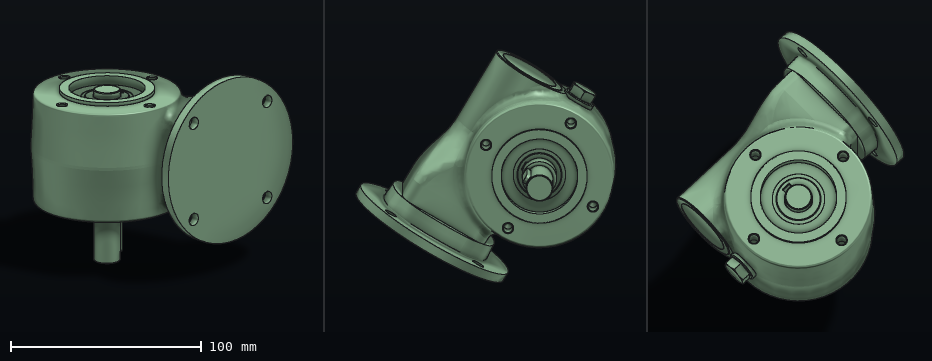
import cadquery as cq
import math


drum_radius = 40.0
drum_end_radius = 38.7
drum_half_height = 30.0
parting_band_half = 0.8
drum_edge_radius = 1.4
boss_diameter = 50.0
boss_face = 32.0
recess_diameter = 40.0
recess_floor = 27.0
cover_hole_diameter = 5.0
cover_hole_mouth = 6.0
cover_hole_depth = 10.0
cover_hole_circle = 65.0
drill_point_angle = 118

worm_axis_y = 30.0
tube_radius = 20.0
tube_end = -40.5
tube_rim_height = 0.5
tube_cap_diameter = 32.0
tube_cap_recess = 0.2
neck_half_width = 25.0
neck_corner_radius = 6.9
neck_start = 36.7
blend_steps = 3
tube_flat = 0.5
junction_radius = 5.7

overlong_tube = 80.5
overlong_drum = 46
wall_tolerance = 0.03

flange_radius = 45.0
flange_face = 62.4
flange_thickness = 5.1
flange_hole_diameter = 6.5
flange_hole_circle = 75.0
collar_start = 47.8
collar_start_reach = 30.8
collar_end_reach = 31.5
collar_bulge_radius = 50.6
collar_corner = 18.4
collar_corner_radius = 13.8
collar_root_radius = 1.0

shaft_diameter = 14.0
shaft_top = 31.3
shaft_bottom = -63.0
shaft_chamfer = 0.5
shoulder_diameter = 18.0
shoulder_bottom = -37.5
hollow_shaft_diameter = 23.8
hollow_shaft_end = 27.7
hollow_shaft_chamfer = 0.6
seal_diameter = 27.5
seal_height = 0.2
bore_mouth_diameter = 14.8
key_width = 5.0
key_top = 9.0
key_start = -40.5
key_length = 20.0
keyway_top = 9.5
keyway_depth = 2.3

plug_end = -47.1
plug_hex_across_flats = 13.0
plug_hex_chamfer = 0.7
plug_hex_chamfer_width = 1.4
plug_washer_diameter = 17.0
plug_washer_outer = -42.0
plug_washer_chamfer = 0.6
plug_seat = -37.9

drum_draft = (drum_radius - drum_end_radius) / (drum_half_height - parting_band_half)
flange_back = flange_face - flange_thickness


def revolved_about_z(points):
    return cq.Workplane("XZ").polyline(points).close().revolve(360, (0, 0, 0), (0, 1, 0))


def cylinder(diameter, bottom, top):
    return cq.Workplane("XY", origin=(0, 0, bottom)).circle(diameter / 2).extrude(top - bottom)


def both_ends(shape):
    return shape.union(shape.mirror("XY"))


def across_x(x):
    """Plane at the given X, centred on the worm axis, facing +X."""
    return cq.Workplane("YZ", origin=(x, worm_axis_y, 0))


def rounded_square(x, half_width, corner_radius):
    """Outline of a round-cornered square across the worm axis."""
    flat = half_width - corner_radius
    diagonal = flat + corner_radius * math.sqrt(0.5)
    return (
        across_x(x)
        .moveTo(half_width, -flat)
        .lineTo(half_width, flat)
        .threePointArc((diagonal, diagonal), (flat, half_width))
        .lineTo(-flat, half_width)
        .threePointArc((-diagonal, diagonal), (-half_width, flat))
        .lineTo(-half_width, -flat)
        .threePointArc((-diagonal, -diagonal), (-flat, -half_width))
        .lineTo(flat, -half_width)
        .threePointArc((diagonal, -diagonal), (half_width, -flat))
        .close()
    )


def section_at(t):
    """Worm housing section at fraction t of the S-curve, from round tube to square neck."""
    s = t * t * (3 - 2 * t)
    half_width = tube_radius + s * (neck_half_width - tube_radius)
    flat = tube_flat + s * (neck_half_width - neck_corner_radius - tube_flat)
    return rounded_square(t * neck_start, half_width, half_width - flat)


def make_worm_housing():
    """Tube that swells along an S-curve into the square neck; the tube is left overlong.

    The tube has tiny flats, so that its faces run on into those of the blend.
    """
    tube = section_at(0).extrude(-overlong_tube)
    wires = [section_at(step / blend_steps).wires().val() for step in range(blend_steps + 1)]
    blend = cq.Workplane(cq.Solid.makeLoft(wires))
    neck = section_at(1).extrude(collar_start - neck_start)
    return tube.union(blend).union(neck)


def drum_radius_at(z):
    return drum_radius - max(z - parting_band_half, 0) * drum_draft


def make_half_drum(height):
    """Upper half of the drum, drafted inwards above a straight band at the parting plane."""
    return revolved_about_z([
        (0, 0),
        (drum_radius, 0),
        (drum_radius, parting_band_half),
        (drum_radius_at(height), height),
        (0, height),
    ])


def is_junction(edge):
    """True for an edge that runs along the drum wall, where the worm housing leaves it."""
    points = edge.positions([0.1, 0.5, 0.9])
    on_wall = all(abs(math.hypot(p.x, p.y) - drum_radius_at(p.z)) < wall_tolerance for p in points)
    is_level = edge.geomType() == "CIRCLE" and edge.Center().z < neck_half_width / 2
    on_seam = abs(edge.Center().y) < wall_tolerance
    below_top = 0 < edge.Center().z < overlong_drum - wall_tolerance
    return on_wall and below_top and not is_level and not on_seam


def upper_block(left_end, height):
    """Block above the parting plane, from X = left_end to the flange, wider than the housing."""
    return (
        cq.Workplane("XY", origin=(left_end, 0, 0))
        .box(flange_back - left_end, 2 * overlong_tube, height, centered=(False, True, False))
    )


def make_housing():
    """Drum and worm housing, blended by one fillet that runs out at the drum and tube ends.

    The upper half is filleted with the drum and tube overlong, trimmed, then mirrored.
    """
    untrimmed = upper_block(-overlong_tube, overlong_drum)
    half = make_half_drum(overlong_drum).union(make_worm_housing()).intersect(untrimmed)
    junction = [edge for edge in half.edges().vals() if is_junction(edge)]
    half = half.newObject(junction).fillet(junction_radius)

    half = half.intersect(upper_block(tube_end, drum_half_height))
    half = half.faces(">Z").edges().fillet(drum_edge_radius)
    return both_ends(half)


def collar_outline(x, reach):
    """Four bulged sides, mid-points at `reach`, joined by flats facing the flange bolts."""
    sag = collar_bulge_radius - math.sqrt(collar_bulge_radius**2 - collar_corner**2)
    edge = reach - sag
    return (
        across_x(x)
        .moveTo(edge, -collar_corner)
        .threePointArc((reach, 0), (edge, collar_corner))
        .lineTo(collar_corner, edge)
        .threePointArc((0, reach), (-collar_corner, edge))
        .lineTo(-edge, collar_corner)
        .threePointArc((-reach, 0), (-edge, -collar_corner))
        .lineTo(-collar_corner, -edge)
        .threePointArc((0, -reach), (collar_corner, -edge))
        .close()
        .wires()
        .val()
    )


def make_tube_rim():
    """Bevelled rim on the tube end, around the shallow recess of the end cap."""
    rim = across_x(tube_end).circle(tube_radius).extrude(-tube_rim_height, taper=45)
    cap_level = tube_end - tube_rim_height + tube_cap_recess
    return rim.cut(across_x(cap_level).circle(tube_cap_diameter / 2).extrude(-tube_cap_recess))


def make_flange():
    """Round flange with its drafted collar, a rounded collar root and four bolt holes."""
    outlines = [
        collar_outline(collar_start, collar_start_reach),
        collar_outline(flange_back, collar_end_reach),
    ]
    collar = cq.Workplane(cq.Solid.makeLoft(outlines, True))
    lengthwise = cq.selectors.BoxSelector(
        (collar_start + collar_root_radius, -flange_radius, -flange_radius),
        (flange_back - collar_root_radius, worm_axis_y + flange_radius, flange_radius),
    )
    collar = collar.edges(lengthwise).fillet(collar_corner_radius)

    flange = across_x(flange_back).circle(flange_radius).extrude(flange_thickness)
    root_zone = (collar_end_reach + flange_radius) / 2
    root = cq.selectors.BoxSelector(
        (flange_back - collar_root_radius, worm_axis_y - root_zone, -root_zone),
        (flange_back + collar_root_radius, worm_axis_y + root_zone, root_zone),
        boundingbox=True,
    )
    flange = flange.union(collar).edges(root).fillet(collar_root_radius)

    holes = (
        across_x(flange_back)
        .polarArray(flange_hole_circle / 2, 45, 360, 4)
        .circle(flange_hole_diameter / 2)
        .extrude(flange_thickness)
    )
    return flange.cut(holes)


def make_cover_holes():
    """Four holes for the upper end face, with countersunk mouths and drill points."""
    radius = cover_hole_diameter / 2
    mouth = cover_hole_mouth / 2
    tip = radius / math.tan(math.radians(drill_point_angle / 2))
    hole = revolved_about_z([
        (0, drum_half_height),
        (mouth, drum_half_height),
        (radius, drum_half_height - (mouth - radius)),
        (radius, drum_half_height - cover_hole_depth),
        (0, drum_half_height - cover_hole_depth - tip),
    ])
    spots = cq.Workplane("XY").polarArray(cover_hole_circle / 2, 0, 360, 4)
    return spots.eachpoint(lambda place: hole.val().moved(place))


def make_shaft():
    """Output shaft with its shoulder and a round-ended key on the +Y side."""
    shaft = cylinder(shaft_diameter, shaft_bottom, shaft_top).faces("<Z or >Z").chamfer(shaft_chamfer)
    shoulder = cylinder(shoulder_diameter, shoulder_bottom, 0)
    key = (
        cq.Workplane("XZ", origin=(0, key_top, key_start - key_length / 2))
        .slot2D(key_length, key_width, 90)
        .extrude(key_top)
    )
    return shaft.union(shoulder).union(key)


def make_hollow_shaft_end():
    """Chamfered end of the hollow shaft, inside the lip of its seal."""
    seal = cylinder(seal_diameter, 0, recess_floor + seal_height)
    sleeve = cylinder(hollow_shaft_diameter, 0, hollow_shaft_end)
    return seal.union(sleeve.faces(">Z").chamfer(hollow_shaft_chamfer))


def make_bore_mouth():
    """Bore entry with its keyway, to be cut from the hollow shaft end."""
    bottom = hollow_shaft_end - keyway_depth
    mouth = cylinder(bore_mouth_diameter, bottom, hollow_shaft_end)
    keyway = (
        cq.Workplane("XY", origin=(0, keyway_top / 2, bottom))
        .rect(key_width, keyway_top)
        .extrude(keyway_depth)
    )
    return mouth.union(keyway)


def make_plug():
    """Hex-headed filler plug with a washer, on the drum at parting level."""
    hexagon_corners = plug_hex_across_flats / math.cos(math.pi / 6)
    head = (
        cq.Workplane("YZ", origin=(plug_end, 0, 0))
        .transformed(rotate=(0, 0, 90))
        .polygon(6, hexagon_corners)
        .extrude(plug_seat - plug_end)
    )
    corner_limit = (
        cq.Workplane("YZ", origin=(plug_end, 0, 0))
        .circle(plug_hex_across_flats / 2 + plug_hex_chamfer_width)
        .extrude(plug_seat - plug_end)
        .faces("<X")
        .chamfer(plug_hex_chamfer, plug_hex_chamfer_width)
    )
    head = head.intersect(corner_limit)
    washer = (
        cq.Workplane("YZ", origin=(plug_washer_outer, 0, 0))
        .circle(plug_washer_diameter / 2)
        .extrude(plug_seat - plug_washer_outer)
        .faces("<X")
        .chamfer(plug_washer_chamfer)
    )
    return head.union(washer)


end_boss = cylinder(boss_diameter, 0, boss_face)
recess = cylinder(recess_diameter, recess_floor, boss_face)

housing = (
    make_housing()
    .union(make_tube_rim())
    .union(both_ends(end_boss))
    .cut(both_ends(recess))
    .cut(both_ends(make_cover_holes()))
)
result = (
    housing.union(make_flange())
    .union(both_ends(make_hollow_shaft_end()))
    .cut(both_ends(make_bore_mouth()))
    .union(make_shaft())
    .union(make_plug())
)